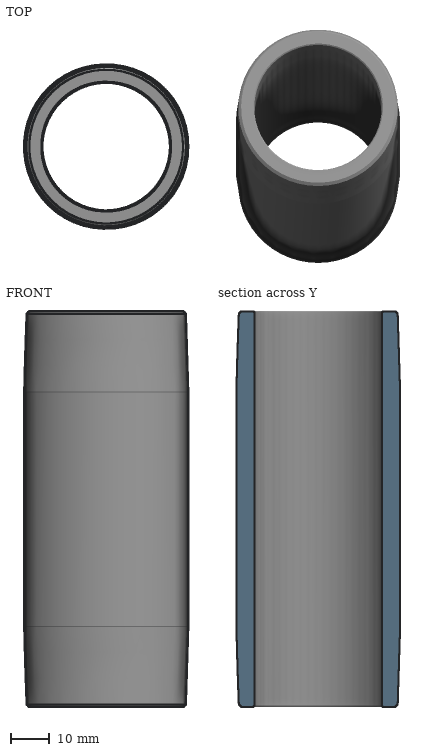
import cadquery as cq

length = 101.6
barrel_diameter = 42.2
bore_diameter = 32.7
taper_length = 20.7
taper_ratio = 1 / 16
outer_chamfer = 0.7
bore_chamfer = 0.3

barrel_radius = barrel_diameter / 2
bore_radius = bore_diameter / 2
end_radius = barrel_radius - taper_length * taper_ratio / 2
half_length = length / 2
barrel_half = half_length - taper_length

wall = (
    cq.Workplane("XZ")
    .moveTo(bore_radius, -half_length)
    .lineTo(end_radius, -half_length)
    .lineTo(barrel_radius, -barrel_half)
    .lineTo(barrel_radius, barrel_half)
    .lineTo(end_radius, half_length)
    .lineTo(bore_radius, half_length)
    .close()
)
nipple = wall.revolve(360, (0, 0, 0), (0, 1, 0))

for end_face in ("<Z", ">Z"):
    nipple = nipple.faces(end_face).edges(cq.selectors.RadiusNthSelector(-1)).chamfer(outer_chamfer)
    nipple = nipple.faces(end_face).edges(cq.selectors.RadiusNthSelector(0)).chamfer(bore_chamfer)

result = nipple